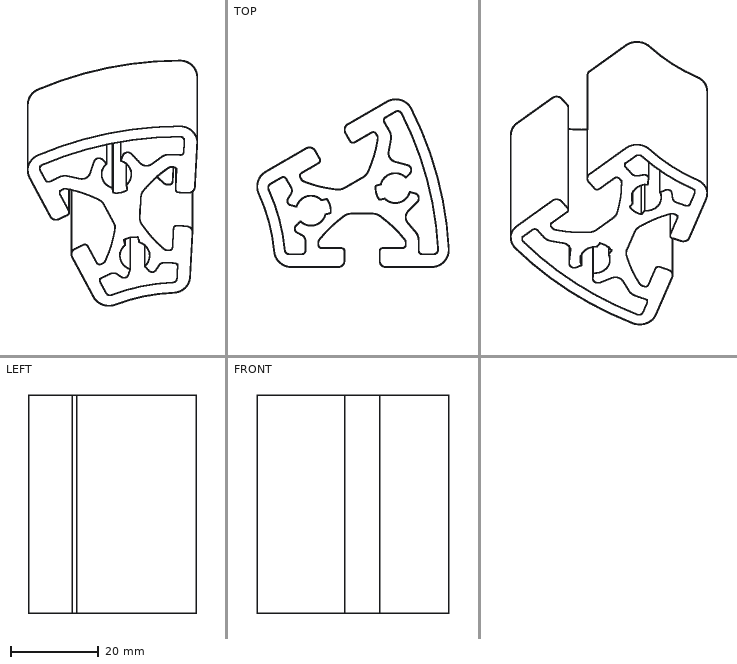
import cadquery as cq
import math

LENGTH = 50.0
WEDGE_ANGLE = 30.0
INNER_RADIUS = 40.0
OUTER_RADIUS = 80.0
WALL = 2.5
CORNER_RADIUS = 4.0
WALL_CORNER_RADIUS = 1.0
OVERSHOOT = 5.0

SLOT_CENTER = (INNER_RADIUS + OUTER_RADIUS) / 2
SLOT_OPENING = 8.0
SLOT_WIDTH = 20.0
SLOT_DEPTH = 12.25
LIP = 4.4
FLANK_START = 6.0
FLANK_BEND = (7.7, 8.85)
FLOOR_WIDTH = 6.9
LIP_OUTER_RADIUS = 1.5
LIP_INNER_RADIUS = 0.75
SLOT_CORNER_RADIUS = 0.75
FLANK_START_RADIUS = 1.0
FLANK_BEND_RADIUS = 25.0
FLOOR_RADIUS = 3.0

BORE_SPACING = 20.0
BORE_RADIUS = 3.4
NOTCH_RADIUS = 4.5
NOTCH_WIDTH = 3.3

WEB = 3.0
HOLLOW_FLOOR = 3.0
FLOOR_CORNER_RADIUS = 0.75
INNER_LOBE = (43.9, 8.55, 1.0)
INNER_SHOULDER_HEIGHT = 6.9
INNER_SHOULDER_RADIUS = 1.5
OUTER_LOBE = (74.15, 16.4, 1.2)
OUTER_WAIST = (69.3, 11.55, 2.0)
OUTER_SHOULDER_HEIGHT = 7.2
OUTER_SHOULDER_RADIUS = 3.0


def mirrored(corners):
    """Reflect corners across the wedge axis, in reverse order."""
    c = math.cos(math.radians(WEDGE_ANGLE))
    s = math.sin(math.radians(WEDGE_ANGLE))
    return [(x * c + y * s, x * s - y * c, r) for x, y, r in reversed(corners)]


def rounded_prism(corners):
    """Extrude a closed polygon whose corners (x, y, radius) are rounded."""
    outline = None
    for i, (x, y, radius) in enumerate(corners):
        here = cq.Vector(x, y)
        before = cq.Vector(*corners[i - 1][:2])
        after = cq.Vector(*corners[(i + 1) % len(corners)][:2])
        to_before = (before - here).normalized()
        to_after = (after - here).normalized()
        half_angle = to_before.getAngle(to_after) / 2
        tangent = radius / math.tan(half_angle)
        start = here + to_before * tangent
        end = here + to_after * tangent
        if outline is None:
            outline = cq.Workplane("XY").moveTo(start.x, start.y)
        else:
            outline = outline.lineTo(start.x, start.y)
        if radius > 0:
            bisector = (to_before + to_after).normalized()
            middle = here + bisector * (radius / math.sin(half_angle) - radius)
            outline = outline.threePointArc((middle.x, middle.y), (end.x, end.y))
    return outline.close().extrude(LENGTH)


def cylinder(radius):
    return cq.Workplane("XY").circle(radius).extrude(LENGTH)


def on_axis(shape, distance):
    """Move a shape drawn about +X onto the wedge axis, a distance from the apex."""
    return shape.translate((distance, 0, 0)).rotate((0, 0, 0), (0, 0, 1), WEDGE_ANGLE / 2)


def bore_center(distance):
    angle = math.radians(WEDGE_ANGLE / 2)
    return (distance * math.cos(angle), distance * math.sin(angle), 0)


def slot_half(side):
    """Corners from the slot opening to its floor; side is -1 (inner) or +1 (outer)."""
    profile = [
        (SLOT_OPENING / 2, 0, LIP_OUTER_RADIUS),
        (SLOT_OPENING / 2, LIP, LIP_INNER_RADIUS),
        (SLOT_WIDTH / 2, LIP, SLOT_CORNER_RADIUS),
        (SLOT_WIDTH / 2, FLANK_START, FLANK_START_RADIUS),
        (*FLANK_BEND, FLANK_BEND_RADIUS),
        (FLOOR_WIDTH / 2, SLOT_DEPTH, FLOOR_RADIUS),
    ]
    return [(SLOT_CENTER + side * x, y, r) for x, y, r in profile]


def wall_edges(shape, radius):
    """Vertical edges lying on the cylinder of the given radius about the apex."""
    tolerance = 0.0005
    edges = shape.edges("|Z").vals()
    return [e for e in edges if abs(math.hypot(e.Center().x, e.Center().y) - radius) < tolerance]


def round_wall_corners(shape, wall_radius, radius):
    return shape.newObject(wall_edges(shape, wall_radius)).fillet(radius)


def make_body():
    face = [(INNER_RADIUS - OVERSHOOT, 0, 0)]
    face += slot_half(-1)
    face += reversed(slot_half(1))
    face += [(OUTER_RADIUS + OVERSHOOT, 0, 0)]
    prism = rounded_prism(face + mirrored(face))
    body = prism.intersect(cylinder(OUTER_RADIUS)).cut(cylinder(INNER_RADIUS))
    body = round_wall_corners(body, INNER_RADIUS, CORNER_RADIUS)
    return round_wall_corners(body, OUTER_RADIUS, CORNER_RADIUS)


def hollow_half(side, corners, shoulder_height, shoulder_radius):
    """Corners of half a hollow, from its lobe to past its curved wall."""
    web_x = SLOT_CENTER + side * (SLOT_WIDTH / 2 + WEB)
    end_x = SLOT_CENTER + side * ((OUTER_RADIUS - INNER_RADIUS) / 2 + OVERSHOOT)
    return corners + [
        (web_x, shoulder_height, shoulder_radius),
        (web_x, HOLLOW_FLOOR, FLOOR_CORNER_RADIUS),
        (end_x, HOLLOW_FLOOR, 0),
    ]


def hollow_prism(bore, half):
    """Hollow before its wall trims it; its mouth spreads from the bore center."""
    return rounded_prism([bore_center(bore)] + half + mirrored(half))


def inner_hollow(bore):
    half = hollow_half(-1, [INNER_LOBE], INNER_SHOULDER_HEIGHT, INNER_SHOULDER_RADIUS)
    wall_radius = INNER_RADIUS + WALL
    hollow = hollow_prism(bore, half).cut(cylinder(wall_radius))
    return round_wall_corners(hollow, wall_radius, WALL_CORNER_RADIUS)


def outer_hollow(bore):
    corners = [OUTER_LOBE, OUTER_WAIST]
    half = hollow_half(1, corners, OUTER_SHOULDER_HEIGHT, OUTER_SHOULDER_RADIUS)
    wall_radius = OUTER_RADIUS - WALL
    hollow = hollow_prism(bore, half).intersect(cylinder(wall_radius))
    return round_wall_corners(hollow, wall_radius, WALL_CORNER_RADIUS)


def notched_bore(distance, side):
    """Round bore with a wider notch on the side facing the middle of the part."""
    notch = (
        cq.Workplane("XY")
        .center(side * NOTCH_RADIUS / 2, 0)
        .rect(NOTCH_RADIUS, NOTCH_WIDTH)
        .extrude(LENGTH)
        .intersect(cylinder(NOTCH_RADIUS))
    )
    return on_axis(cylinder(BORE_RADIUS).union(notch), distance)


inner_bore = SLOT_CENTER - BORE_SPACING / 2
outer_bore = SLOT_CENTER + BORE_SPACING / 2

result = (
    make_body()
    .cut(inner_hollow(inner_bore))
    .cut(outer_hollow(outer_bore))
    .cut(notched_bore(inner_bore, 1))
    .cut(notched_bore(outer_bore, -1))
)